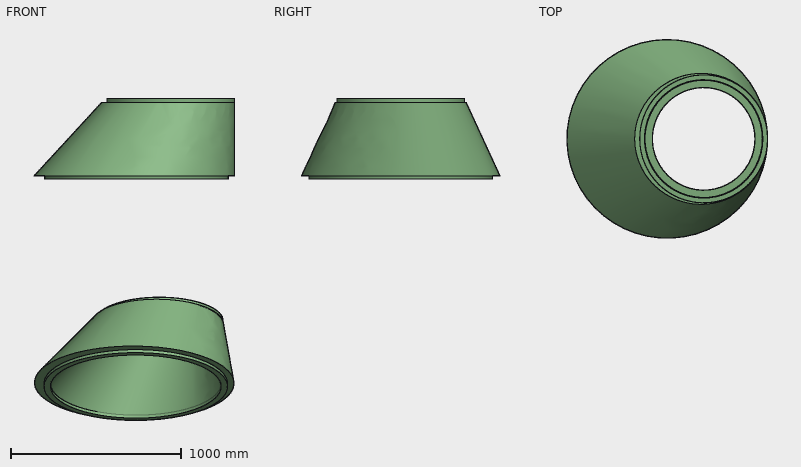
import cadquery as cq

spigot_height = 19.0
body_height = 432.0
rim_height = 22.0
body_bottom = spigot_height
body_top = body_bottom + body_height
part_top = body_top + rim_height

base_length = 1177.0
base_width = 1166.0
shoulder_length = 780.0
shoulder_width = 768.0
upright_side_x = base_length / 2

spigot_diameter = 1077.0
spigot_center_x = 13.0
rim_diameter = 750.0
rim_center_x = upright_side_x - rim_diameter / 2
recess_top_diameter = 695.0
recess_floor_diameter = 688.0
recess_depth = 22.0
recess_floor = part_top - recess_depth

opening_diameter = 600.0
cavity_diameter = 1001.0
cavity_center_x = rim_center_x + (opening_diameter - cavity_diameter) / 2


def oval_wire(center_x, z, length, width):
    plane = cq.Workplane("XY", origin=(center_x, 0, z))
    if length == width:
        return plane.circle(length / 2).wires().val()
    return plane.ellipse(length / 2, width / 2).wires().val()


def circle_wire(center_x, z, diameter):
    return oval_wire(center_x, z, diameter, diameter)


def ruled_solid(lower_wire, upper_wire):
    return cq.Workplane(cq.Solid.makeLoft([lower_wire, upper_wire], True))


def disc(center_x, z, diameter, height):
    return cq.Workplane("XY", origin=(center_x, 0, z)).circle(diameter / 2).extrude(height)


shoulder_center_x = upright_side_x - shoulder_length / 2
body = ruled_solid(
    oval_wire(0, body_bottom, base_length, base_width),
    oval_wire(shoulder_center_x, body_top, shoulder_length, shoulder_width),
)

spigot = disc(spigot_center_x, 0, spigot_diameter, spigot_height)
rim = disc(rim_center_x, body_top, rim_diameter, rim_height)

recess = ruled_solid(
    circle_wire(rim_center_x, recess_floor, recess_floor_diameter),
    circle_wire(rim_center_x, part_top, recess_top_diameter),
)

spigot_bore = disc(cavity_center_x, 0, cavity_diameter, spigot_height)
cavity = ruled_solid(
    circle_wire(cavity_center_x, body_bottom, cavity_diameter),
    circle_wire(rim_center_x, recess_floor, opening_diameter),
)

result = body.union(spigot).union(rim).cut(recess).cut(spigot_bore).cut(cavity)